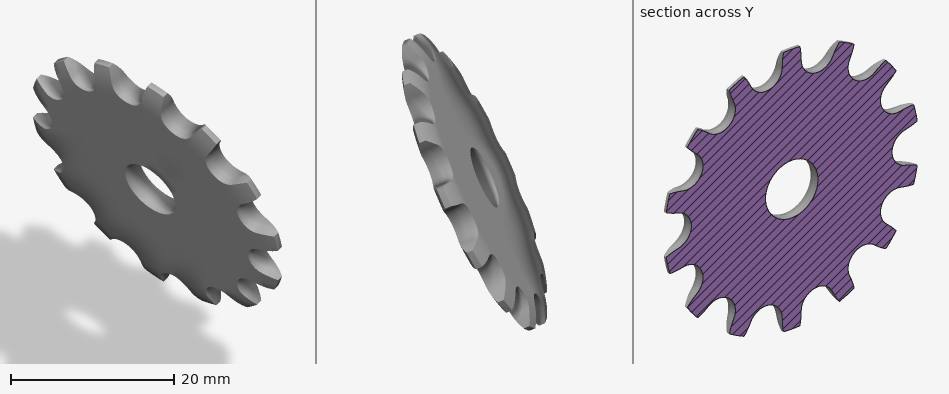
import cadquery as cq
import math

tooth_count = 14
chain_pitch = 8.0
roller_diameter = 5.0
tip_diameter = 39.2
thickness = 2.8
bore_diameter = 8.0
tip_thickness = 0.8
flank_radius = 10.1
side_radius = chain_pitch

pitch_angle = 360.0 / tooth_count
half_pitch_angle = pitch_angle / 2
pitch_radius = chain_pitch / 2 / math.sin(math.radians(half_pitch_angle))
seat_radius = roller_diameter / 2
tip_radius = tip_diameter / 2

seat_half_angle = 90.0 - half_pitch_angle
flank_sweep = 18.0


def make_blank():
    """Bored disc whose sides curve in towards a narrow rim."""
    half_thickness = thickness / 2
    half_tip = tip_thickness / 2
    side_drop = half_thickness - half_tip
    side_height = math.sqrt(side_radius**2 - (side_radius - side_drop)**2)
    face_radius = tip_radius - side_height
    mid_angle = math.acos(1 - side_drop / side_radius) / 2
    mid_y = half_thickness - side_radius * (1 - math.cos(mid_angle))
    mid_z = face_radius + side_radius * math.sin(mid_angle)
    bore_radius = bore_diameter / 2
    return (
        cq.Workplane("YZ")
        .moveTo(-half_thickness, bore_radius)
        .lineTo(half_thickness, bore_radius)
        .lineTo(half_thickness, face_radius)
        .threePointArc((mid_y, mid_z), (half_tip, tip_radius))
        .lineTo(-half_tip, tip_radius)
        .threePointArc((-mid_y, mid_z), (-half_thickness, face_radius))
        .close()
        .revolve(360, (0, 0), (1, 0))
    )


def seat_point(angle, radius=seat_radius):
    """Point around the roller centre, with the angle measured from the gap bottom."""
    a = math.radians(angle)
    return (radius * math.sin(a), pitch_radius - radius * math.cos(a))


def flank_point(sweep):
    """Point on the convex flank, with the sweep measured from the end of the seat."""
    center_x, center_z = seat_point(seat_half_angle, seat_radius + flank_radius)
    a = math.radians(seat_half_angle - sweep)
    return (center_x - flank_radius * math.sin(a), center_z + flank_radius * math.cos(a))


def mirrored(point):
    """The same point on the other side of the gap centreline."""
    return (-point[0], point[1])


def make_gap():
    """Cutter for one tooth gap, centred on +Z: a roller seat between two flanks."""
    seat_bottom = seat_point(0)
    seat_end = seat_point(seat_half_angle)
    flank_mid = flank_point(flank_sweep / 2)
    flank_end = flank_point(flank_sweep)
    return (
        cq.Workplane("XZ")
        .moveTo(*mirrored(flank_end))
        .threePointArc(mirrored(flank_mid), mirrored(seat_end))
        .threePointArc(seat_bottom, seat_end)
        .threePointArc(flank_mid, flank_end)
        .close()
        .extrude(thickness, both=True)
    )


result = make_blank()
gap = make_gap()
for i in range(tooth_count):
    gap_angle = (i + 0.5) * pitch_angle
    result = result.cut(gap.rotate((0, 0, 0), (0, 1, 0), gap_angle))